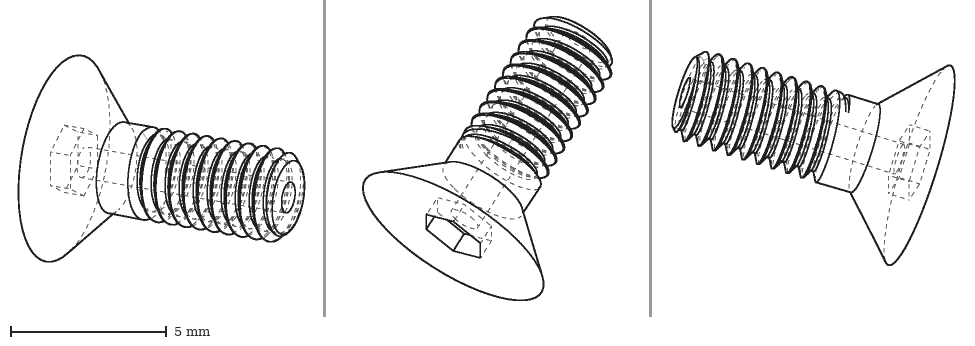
import cadquery as cq
import math


TOTAL_LENGTH = 8.0
HEAD_DIAMETER = 6.72
THREAD_DIAMETER = 2.974
CREST_RADIUS = THREAD_DIAMETER / 2
HEAD_RADIUS = HEAD_DIAMETER / 2
HEAD_HEIGHT = HEAD_RADIUS - CREST_RADIUS

SOCKET_ACROSS_FLATS = 2.0
HEX_SIDES = 6
SOCKET_DEPTH = 0.7
BORE_DIAMETER = 1.0

PITCH = 0.5
THREAD_ANGLE = 60
THREAD_DEPTH = 0.29
ROOT_RADIUS = CREST_RADIUS - THREAD_DEPTH
CREST_FLAT = PITCH / 8
FLANK_SLOPE = math.tan(math.radians(THREAD_ANGLE / 2))
GROOVE_HALF_WIDTH = (PITCH - CREST_FLAT) / 2
ROOT_HALF_WIDTH = GROOVE_HALF_WIDTH - THREAD_DEPTH * FLANK_SLOPE
TIP_CHAMFER = THREAD_DEPTH

FULL_GROOVE_X = 3.13
FULL_GROOVE_ANGLE = math.radians(99)
RUNOUT_TURNS = 1 / 3

CLEARANCE = 0.02
POINTS_PER_TURN = 24


def screw_blank():
    """Revolve the head, shank and chamfered tip about the X axis."""
    return (
        cq.Workplane("XY")
        .moveTo(0, 0)
        .lineTo(0, HEAD_RADIUS)
        .lineTo(HEAD_HEIGHT, CREST_RADIUS)
        .lineTo(TOTAL_LENGTH - TIP_CHAMFER, CREST_RADIUS)
        .lineTo(TOTAL_LENGTH, CREST_RADIUS - TIP_CHAMFER)
        .lineTo(TOTAL_LENGTH, 0)
        .close()
        .revolve(360, (0, 0, 0), (1, 0, 0))
    )


def socket():
    """Hexagonal pocket in the head face, with flats facing +Y and -Y."""
    across_corners = SOCKET_ACROSS_FLATS / math.cos(math.pi / HEX_SIDES)
    return (
        cq.Workplane("YZ")
        .transformed(rotate=(0, 0, 90))
        .polygon(HEX_SIDES, across_corners)
        .extrude(SOCKET_DEPTH)
    )


def bore():
    """Round hole through the whole length."""
    return cq.Workplane("YZ").circle(BORE_DIAMETER / 2).extrude(TOTAL_LENGTH)


def groove_edge(x_offset, radius, start_turn, end_turn, start_rise):
    """Helical edge whose radius is start_rise larger at its start than at its end."""
    steps = math.ceil((end_turn - start_turn) * POINTS_PER_TURN)
    points = []
    for step in range(steps + 1):
        fraction = step / steps
        turn = start_turn + (end_turn - start_turn) * fraction
        angle = FULL_GROOVE_ANGLE + 2 * math.pi * turn
        local_radius = radius + start_rise * (1 - fraction)
        points.append(
            cq.Vector(
                FULL_GROOVE_X + PITCH * turn + x_offset,
                local_radius * math.cos(angle),
                local_radius * math.sin(angle),
            )
        )
    return cq.Edge.makeSpline(points)


def groove(start_turn, end_turn, start_rise=0.0):
    """Solid of trapezoidal section that winds along the thread and fills its groove."""
    outer_radius = CREST_RADIUS + CLEARANCE
    outer_half_width = GROOVE_HALF_WIDTH + CLEARANCE * FLANK_SLOPE
    section = [
        (-ROOT_HALF_WIDTH, ROOT_RADIUS),
        (ROOT_HALF_WIDTH, ROOT_RADIUS),
        (outer_half_width, outer_radius),
        (-outer_half_width, outer_radius),
    ]
    edges = [groove_edge(x, radius, start_turn, end_turn, start_rise) for x, radius in section]
    faces = []
    for index, edge in enumerate(edges):
        faces.append(cq.Face.makeRuledSurface(edges[index - 1], edge))
    for end_points in ([e.startPoint() for e in edges], [e.endPoint() for e in edges]):
        faces.append(cq.Face.makeFromWires(cq.Wire.makePolygon(end_points, close=True)))
    solid = cq.Solid.makeSolid(cq.Shell.makeShell(faces))
    return cq.Workplane(obj=solid.fix())


def full_groove():
    """Full-depth groove, running out past the tip."""
    turns = (TOTAL_LENGTH + PITCH - FULL_GROOVE_X) / PITCH
    return groove(0, turns)


def runout_groove():
    """Start of the groove, rising evenly until its root clears the shank surface."""
    rise = THREAD_DEPTH + CLEARANCE
    turns = RUNOUT_TURNS * rise / THREAD_DEPTH
    return groove(-turns, 0, rise)


result = screw_blank().cut(socket()).cut(bore()).cut(full_groove()).cut(runout_groove())